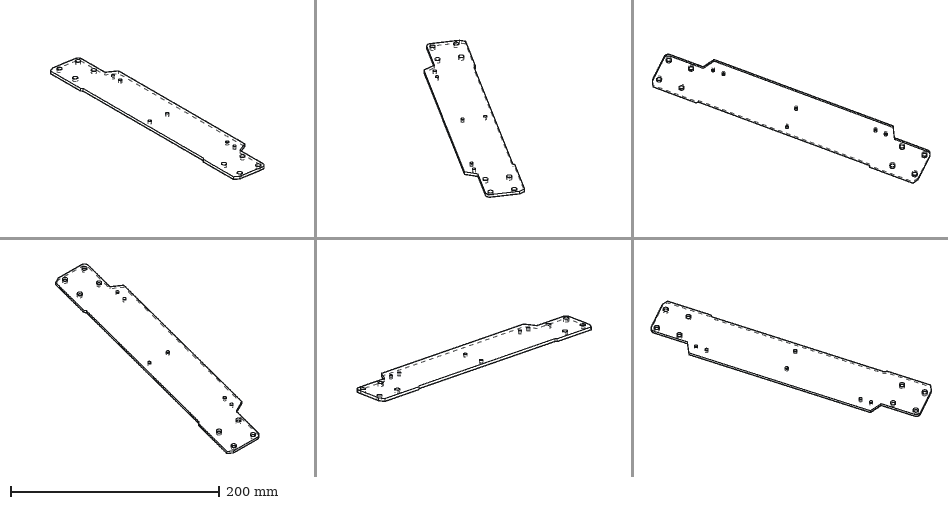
import cadquery as cq

length = 278.0
width = 50.0
thickness = 3.0
mid_x = length / 2

ear_width = 38.5
ear_end = 39.0
shoulder_run = 6.5
ear_corner_radius = 4.5
corner_cut_x = 3.0
corner_cut_y = 5.5
relief_start = 48.0
relief_depth = 1.7

ear_hole_diameter = 5.0
ear_hole_inset = 5.3
ear_hole_pitch = 23.4
small_hole_diameter = 3.0
shoulder_hole_x = 48.6
shoulder_hole_pitch = 10.8
shoulder_hole_y = 40.0
center_hole_pitch = 22.2

ear_hole_top = ear_width - ear_hole_inset
ear_hole_bottom = ear_hole_top - ear_hole_pitch


def both_ends(points):
    """Return the points together with their mirror images about mid length."""
    return points + [(length - x, y) for x, y in points]


def make_plate():
    left_side = [
        (relief_start + relief_depth, relief_depth),
        (relief_start, 0),
        (corner_cut_x, 0),
        (0, corner_cut_y),
        (0, ear_width),
        (ear_end, ear_width),
        (ear_end + shoulder_run, width),
    ]
    right_side = [(length - x, y) for x, y in reversed(left_side)]
    plate = cq.Workplane("XY").polyline(left_side + right_side).close().extrude(thickness)
    for x in (0, length):
        corner = cq.selectors.NearestToPointSelector((x, ear_width, thickness / 2))
        plate = plate.edges("|Z").edges(corner).fillet(ear_corner_radius)
    return plate


def make_holes(points, diameter):
    return cq.Workplane("XY").pushPoints(points).circle(diameter / 2).extrude(thickness)


ear_holes = both_ends([
    (x, y)
    for x in (ear_hole_inset, ear_hole_inset + ear_hole_pitch)
    for y in (ear_hole_bottom, ear_hole_top)
])
shoulder_holes = both_ends([
    (shoulder_hole_x, shoulder_hole_y),
    (shoulder_hole_x + shoulder_hole_pitch, shoulder_hole_y),
])
center_holes = [(mid_x, ear_hole_bottom), (mid_x, ear_hole_bottom + center_hole_pitch)]

result = (
    make_plate()
    .cut(make_holes(ear_holes, ear_hole_diameter))
    .cut(make_holes(shoulder_holes + center_holes, small_hole_diameter))
)